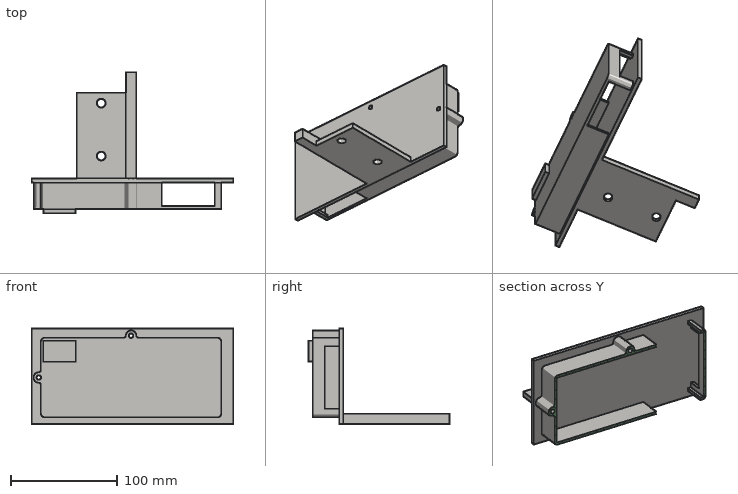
import cadquery as cq
import math

PLATE_WIDTH = 190.0
PLATE_HEIGHT = 90.0
PLATE_THICKNESS = 4.0

BAR_LEFT = 88.7
BAR_SIZE = 9.9
BAR_LENGTH = 100.0
FLANGE_LEFT = 42.4
FLANGE_LENGTH = 80.5
FLANGE_THICKNESS = 5.1
FLANGE_HOLE_DIAMETER = 8.0
FLANGE_HOLE_DISTANCES = (20.9, 70.7)

COVER_LEFT = 8.7
COVER_BOTTOM = 6.3
COVER_WIDTH = 169.9
COVER_HEIGHT = 75.0
COVER_DEPTH = 25.0
COVER_WALL = 3.0
CORNER_RADIUS = 4.0
COVER_RIGHT = COVER_LEFT + COVER_WIDTH
COVER_TOP = COVER_BOTTOM + COVER_HEIGHT
COVER_FRONT = -PLATE_THICKNESS - COVER_DEPTH

BOSS_RADIUS = 5.0
BOSS_OFFSET = 1.9
BOSS_BLEND = 2.0
SCREW_DIAMETER = 4.0
TOP_BOSS_X = 93.7
LEFT_BOSS_Z = 43.9

SLOT_LEFT = 122.5
SLOT_WIDTH = 49.8
PORT_DEPTH = 13.5
PORT_MARGIN = 8.2

PAD_LEFT = 11.0
PAD_BOTTOM = 58.9
PAD_WIDTH = 30.4
PAD_HEIGHT = 19.5
PAD_THICKNESS = 4.0

SCREW_POSITIONS = [
    (TOP_BOSS_X, COVER_TOP + BOSS_OFFSET),
    (COVER_LEFT - BOSS_OFFSET, LEFT_BOSS_Z),
]


def block(left, front, bottom, width, depth, height):
    """Box placed by its minimum corner."""
    return cq.Workplane("XY").box(width, depth, height, centered=False).translate((left, front, bottom))


def screw_holes():
    """Cutters for the screws, running through the cover and the plate."""
    return (
        cq.Workplane("XZ")
        .pushPoints(SCREW_POSITIONS)
        .circle(SCREW_DIAMETER / 2)
        .extrude(PLATE_THICKNESS + COVER_DEPTH)
    )


def make_mount():
    """Plate with the bar and drilled flange projecting from its rear."""
    plate = block(0, -PLATE_THICKNESS, 0, PLATE_WIDTH, PLATE_THICKNESS, PLATE_HEIGHT)
    bar = block(BAR_LEFT, 0, 0, BAR_SIZE, BAR_LENGTH, BAR_SIZE)
    flange_width = BAR_LEFT - FLANGE_LEFT
    flange = block(FLANGE_LEFT, 0, 0, flange_width, FLANGE_LENGTH, FLANGE_THICKNESS)
    hole_x = FLANGE_LEFT + flange_width / 2
    flange_holes = (
        cq.Workplane("XY")
        .pushPoints([(hole_x, distance) for distance in FLANGE_HOLE_DISTANCES])
        .circle(FLANGE_HOLE_DIAMETER / 2)
        .extrude(FLANGE_THICKNESS)
    )
    return plate.union(bar).union(flange.cut(flange_holes)).cut(screw_holes())


def boss():
    """Boss rising along +Z from a wall at Z = 0, with concave feet."""
    centre_distance = BOSS_RADIUS + BOSS_BLEND
    rise = BOSS_BLEND - BOSS_OFFSET
    foot = math.sqrt(centre_distance**2 - rise**2)
    touch_x = foot * BOSS_RADIUS / centre_distance
    touch_z = BOSS_OFFSET + rise * BOSS_RADIUS / centre_distance
    return (
        cq.Workplane("XZ", origin=(0, -PLATE_THICKNESS, 0))
        .moveTo(-foot, 0)
        .radiusArc((-touch_x, touch_z), -BOSS_BLEND)
        .threePointArc((0, BOSS_OFFSET + BOSS_RADIUS), (touch_x, touch_z))
        .radiusArc((foot, 0), -BOSS_BLEND)
        .lineTo(foot, -COVER_WALL)
        .lineTo(-foot, -COVER_WALL)
        .close()
        .extrude(COVER_DEPTH)
    )


def make_cover():
    """Rounded shell with two screw bosses, a vertical slot and a side port."""
    shell = block(COVER_LEFT, COVER_FRONT, COVER_BOTTOM, COVER_WIDTH, COVER_DEPTH, COVER_HEIGHT)
    shell = shell.edges("|Y").fillet(CORNER_RADIUS)
    cavity = block(
        COVER_LEFT + COVER_WALL,
        COVER_FRONT + COVER_WALL,
        COVER_BOTTOM + COVER_WALL,
        COVER_WIDTH - 2 * COVER_WALL,
        COVER_DEPTH - COVER_WALL,
        COVER_HEIGHT - 2 * COVER_WALL,
    )
    slot = block(
        SLOT_LEFT, COVER_FRONT + COVER_WALL, COVER_BOTTOM, SLOT_WIDTH, COVER_DEPTH - COVER_WALL, COVER_HEIGHT
    )
    port = block(
        COVER_RIGHT - COVER_WALL,
        -PLATE_THICKNESS - PORT_DEPTH,
        COVER_BOTTOM + PORT_MARGIN,
        COVER_WALL,
        PORT_DEPTH,
        COVER_HEIGHT - 2 * PORT_MARGIN,
    )
    top_boss = boss().translate((TOP_BOSS_X, 0, COVER_TOP))
    left_boss = boss().rotate((0, 0, 0), (0, 1, 0), -90).translate((COVER_LEFT, 0, LEFT_BOSS_Z))
    cover = shell.cut(cavity).union(top_boss).union(left_boss)
    return cover.cut(slot).cut(port).cut(screw_holes())


def make_pad():
    """Plain pad lying on the cover's front face."""
    return block(PAD_LEFT, COVER_FRONT - PAD_THICKNESS, PAD_BOTTOM, PAD_WIDTH, PAD_THICKNESS, PAD_HEIGHT)


mount = make_mount()
cover = make_cover()
pad = make_pad()

result = cq.Compound.makeCompound([mount.val(), cover.val(), pad.val()])